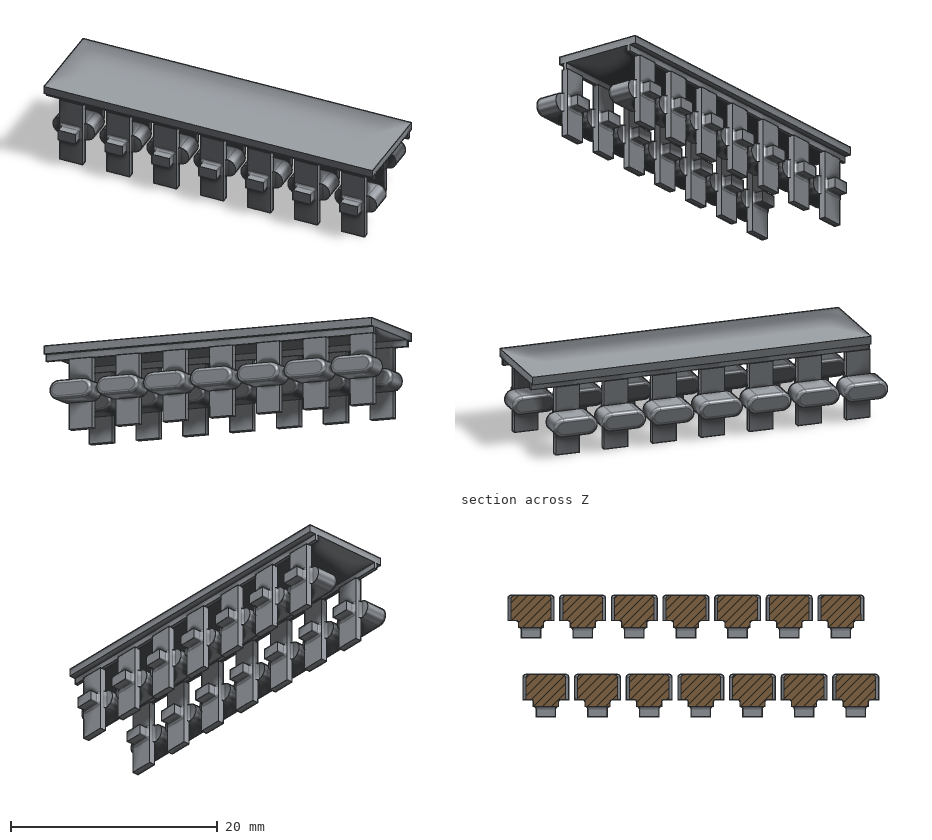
import cadquery as cq

key_count = 7
pitch = 5.0
strip_length = 34.97
strip_width = 9.15
strip_thickness = 0.8

rail_height = 0.65
rail_thickness = 0.32

total_height = 8.4
plate_width = 2.45
plate_thickness = 0.65
plate_inset = 0.32
plate_top = -(strip_thickness + rail_height)
plate_bottom = -total_height

row_spacing = 7.65
front_row_shift = 1.45

key_z = -4.85
knob_side_overhang = 1.0
knob_width = plate_width + 2 * knob_side_overhang
knob_height = 1.87
knob_length = 2.5
knob_edge_radius = 0.32
web_radius = 0.2

tongue_width = 1.9
tongue_height = 1.1
tongue_length = 1.0
tongue_edge_radius = 0.07
tongue_root_radius = 0.25


def box(x_start, x_size, y_start, y_size, z_start, z_size):
    """Box given by its low corner and its sizes."""
    return cq.Workplane("XY").box(x_size, y_size, z_size, centered=False).translate(
        (x_start, y_start, z_start)
    )


def make_knob():
    """Stadium-section knob whose front face lies at Y = 0 and whose rear edge is rounded."""
    return (
        cq.Workplane("XZ")
        .slot2D(knob_width, knob_height)
        .extrude(-knob_length)
        .faces(">Y")
        .edges()
        .fillet(knob_edge_radius)
    )


def make_web(side):
    """Concave fillet between the knob's front face and one side of the plate."""
    half_width = plate_width / 2
    web = (
        cq.Workplane("XY")
        .moveTo(half_width, 0)
        .lineTo(half_width + web_radius, 0)
        .radiusArc((half_width, -web_radius), -web_radius)
        .close()
        .extrude(knob_height)
        .translate((0, 0, -knob_height / 2))
    )
    return web if side > 0 else web.mirror("YZ")


def make_key():
    """Plate with knob and tongue, centred on X = 0, plate rear at Y = 0, knob axis at Z = 0."""
    plate = box(
        -plate_width / 2, plate_width,
        -plate_thickness, plate_thickness,
        plate_bottom - key_z, plate_top - plate_bottom,
    )
    tongue = box(
        -tongue_width / 2, tongue_width,
        -plate_thickness - tongue_length, tongue_length,
        -tongue_height / 2, tongue_height,
    ).edges("|Y").fillet(tongue_edge_radius)
    key = plate.union(tongue)
    reach = tongue_width / 2 + tongue_root_radius / 2
    root_edges = cq.selectors.BoxSelector(
        (-reach, -plate_thickness - tongue_root_radius / 2, -reach),
        (reach, -plate_thickness + tongue_root_radius / 2, reach),
    )
    key = key.edges(root_edges).fillet(tongue_root_radius)
    key = key.union(make_knob())
    for side in (-1, 1):
        key = key.union(make_web(side))
    return key


result = box(0, strip_length, -strip_width, strip_width, -strip_thickness, strip_thickness)
key = make_key()
for row_y, row_x in ((-plate_inset, 0), (-plate_inset - row_spacing, front_row_shift)):
    rail_y = row_y - (plate_thickness + rail_thickness) / 2
    result = result.union(box(0, strip_length, rail_y, rail_thickness, plate_top, rail_height))
    for index in range(key_count):
        key_x = row_x + plate_width / 2 + index * pitch
        result = result.union(key.translate((key_x, row_y, key_z)))